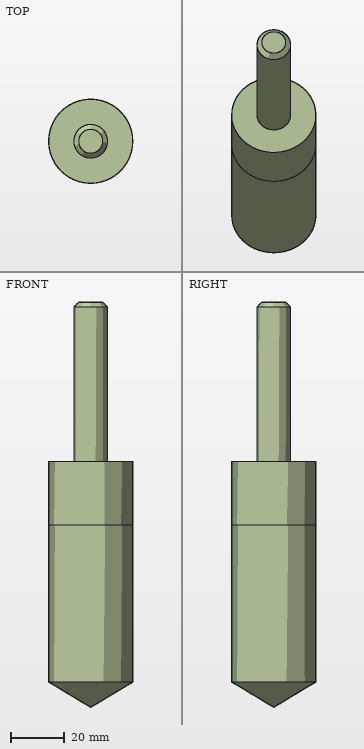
import cadquery as cq
import math

total_length = 152.4
body_diameter = 31.7
body_radius = body_diameter / 2

seam_height = 68.6
shoulder_height = 92.5

point_angle = 118.0
point_height = body_radius / math.tan(math.radians(point_angle / 2))

shank_diameter = 12.6
shank_length = total_length - shoulder_height
shank_chamfer = 1.8


def make_cutter():
    """Solid cylinder ending in a conical point at the origin."""
    return (
        cq.Workplane("XZ")
        .moveTo(0, 0)
        .lineTo(body_radius, point_height)
        .lineTo(body_radius, seam_height)
        .lineTo(0, seam_height)
        .close()
        .revolve(360, (0, 0, 0), (0, 1, 0))
    )


def make_holder():
    """Collar resting on the cutter, with a chamfered shank on top."""
    collar = (
        cq.Workplane("XY")
        .workplane(offset=seam_height)
        .circle(body_radius)
        .extrude(shoulder_height - seam_height)
    )
    shank = (
        cq.Workplane("XY")
        .workplane(offset=shoulder_height)
        .circle(shank_diameter / 2)
        .extrude(shank_length)
        .faces(">Z")
        .chamfer(shank_chamfer)
    )
    return collar.union(shank)


cutter = make_cutter()
holder = make_holder()

result = cq.Compound.makeCompound([cutter.val(), holder.val()])